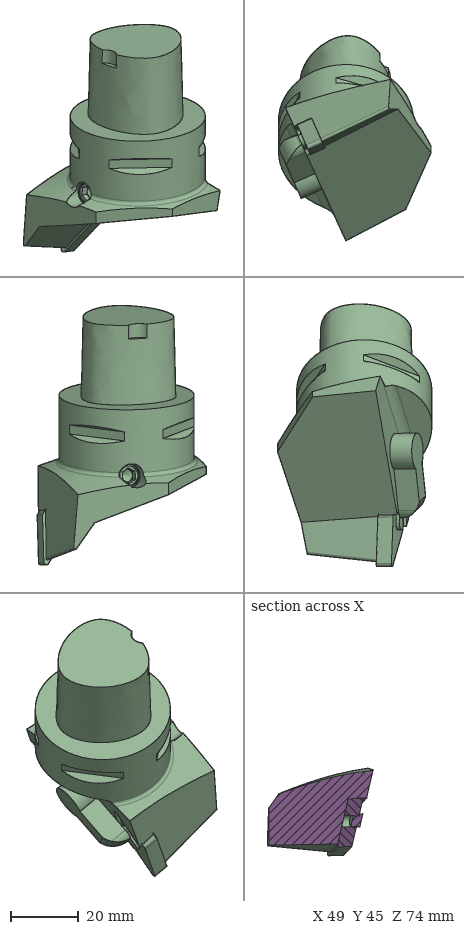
import cadquery as cq
import math

shank_height = 24.0
shank_base_radius = 14.05
shank_taper = 1 / 40
lobe_height = 0.8
outline_points = 72
notch_radius = 3.5
notch_depth = 4.2
notch_center_y = -14.55

flange_radius = 20.0
groove_center_z = -8.05
groove_floor_distance = 17.7
groove_floor_width = 2.7
groove_side_angle = 27.5
groove_angles = (45, 135, 225, 315)

shoulder_z = -20.0
shoulder_angle = 15.0
shoulder_fillet = 1.2
head_right_x = 22.0
head_front_y = -25.0
head_corner_chamfer = 16.0
head_reach = 60.0

tip = (-26.95, 0.0, -50.0)
side_tilt = 5.0
back_tilt = 13.0
shelf_height = 1.1

insert_angle = 35.0
inscribed_radius = 9.525 / 2
insert_thickness = 4.76
nose_radius = 0.8
insert_hole_radius = 3.81 / 2
edge_angle = 3.0

flank_inset = 0.45
holder_nose_radius = 0.5
long_flank_angle = 4.3
long_relief_angle = 2.0
short_relief_angle = 2.2
inner_corner = (10.6, 12.15)
underside_angle = 16.2
seat_relief_radius = 0.6
seat_relief_shift = 0.2

pocket_corner_z = -18.4
pocket_roof_angle = 14.5
pocket_fillet = 4.0

clamp_head_radius = 10.92 / 2
clamp_head_center = (24.1, 24.3)
clamp_nose_radius = 3.2
clamp_nose_center = (8.7, 16.6)
clamp_height = 6.8
clamp_crown_start = (2.6, clamp_height)
clamp_crown_middle = (0.0, 5.4)
clamp_crown_end = (-2.6, 0.5)
clamp_pin_radius = 3.68 / 2
clamp_pin_depth = 2.0

bore_radius = 3.5
bore_mouth = (-3.85, -20.0, -19.9)
bore_direction = (0.09, -1.0, 0.2)
bore_depth = 2.5
plug_radius = 6.8 / 2
plug_face_radius = 2.9
plug_step_depth = 0.5
hex_across_flats = 4.0
hex_depth = 2.5
hex_cone_depth = 1.2


def tan(angle):
    return math.tan(math.radians(angle))


def direction(angle):
    """Unit direction leaning from the local vertical towards local +X."""
    return cq.Vector(math.sin(math.radians(angle)), math.cos(math.radians(angle)))


cutting_plane = cq.Plane(
    origin=tip,
    xDir=(1, tan(side_tilt), 0),
    normal=(tan(side_tilt), -1, tan(back_tilt)),
)
half_angle = insert_angle / 2
bisector = direction(edge_angle + half_angle)
long_edge = direction(edge_angle)
short_edge = direction(edge_angle + insert_angle)
nose_center = cq.Vector(nose_radius, nose_radius)
half_angle_sine = math.sin(math.radians(half_angle))
half_diagonal = inscribed_radius / half_angle_sine
half_width = half_diagonal * tan(half_angle)
across = cq.Vector(bisector.y, -bisector.x)
insert_center = nose_center + bisector * ((inscribed_radius - nose_radius) / half_angle_sine)


def cutting_workplane(depth=0.0):
    return cq.Workplane(cutting_plane).workplane(offset=depth)


def rhombus(height, depth):
    """Insert outline extruded down from a given depth below the insert face."""
    corners = [
        insert_center - bisector * half_diagonal,
        insert_center + across * half_width,
        insert_center + bisector * half_diagonal,
        insert_center - across * half_width,
    ]
    prism = cutting_workplane(depth).polyline([(p.x, p.y) for p in corners]).close().extrude(height)
    return prism.edges(cq.selectors.ParallelDirSelector(cutting_plane.zDir)).fillet(nose_radius)


def make_insert():
    hole = (
        cutting_workplane()
        .center(insert_center.x, insert_center.y)
        .circle(insert_hole_radius)
        .extrude(insert_thickness)
    )
    return rhombus(insert_thickness, 0).cut(hole)


def lobed_outline(mean_radius):
    """Three-lobed constant-width curve with one lobe on +Y."""
    def point(t):
        angle = 2 * math.pi * t
        lobe = 3 * (angle - math.pi / 2)
        support = mean_radius + lobe_height * math.cos(lobe)
        slope = -3 * lobe_height * math.sin(lobe)
        x = support * math.cos(angle) - slope * math.sin(angle)
        y = support * math.sin(angle) + slope * math.cos(angle)
        return x, y
    return point


def make_shank():
    top_radius = shank_base_radius - shank_height * shank_taper
    shank = (
        cq.Workplane("XY")
        .parametricCurve(lobed_outline(shank_base_radius), N=outline_points)
        .workplane(offset=shank_height)
        .parametricCurve(lobed_outline(top_radius), N=outline_points)
        .loft(ruled=True)
    )
    notch = (
        cq.Workplane("XY", origin=(0, notch_center_y, shank_height - notch_depth))
        .circle(notch_radius)
        .extrude(notch_depth)
    )
    return shank.cut(notch)


def make_turned_stock():
    """Flange, shoulder fillet and shoulder cone turned about Z."""
    tangent = shoulder_fillet * tan((90 - shoulder_angle) / 2)
    arc_end_r = flange_radius + tangent * math.cos(math.radians(shoulder_angle))
    arc_end_z = shoulder_z - tangent * math.sin(math.radians(shoulder_angle))
    rim_z = shoulder_z - (head_reach - flange_radius) * tan(shoulder_angle)
    arc_center = (flange_radius + shoulder_fillet, shoulder_z + tangent)
    middle = math.radians(180 + (90 - shoulder_angle) / 2)
    arc_middle = (
        arc_center[0] + shoulder_fillet * math.cos(middle),
        arc_center[1] + shoulder_fillet * math.sin(middle),
    )
    return (
        cq.Workplane("XZ")
        .lineTo(flange_radius, 0)
        .lineTo(flange_radius, shoulder_z + tangent)
        .threePointArc(arc_middle, (arc_end_r, arc_end_z))
        .lineTo(head_reach, rim_z)
        .lineTo(head_reach, -head_reach)
        .lineTo(0, -head_reach)
        .close()
        .revolve(360, (0, 0, 0), (0, 1, 0))
    )


def make_footprint():
    chamfer_x = head_right_x - head_corner_chamfer
    chamfer_y = head_front_y + head_corner_chamfer
    return (
        cq.Workplane("XY", origin=(0, 0, -head_reach))
        .moveTo(-head_reach, head_front_y)
        .lineTo(chamfer_x, head_front_y)
        .lineTo(head_right_x, chamfer_y)
        .lineTo(head_right_x, head_reach)
        .lineTo(-head_reach, head_reach)
        .close()
        .extrude(head_reach)
    )


def crossing(start, way, other_start, other_way):
    """Point where two lines in the cutting plane meet."""
    gap = other_start - start
    run = gap.cross(other_way).z / way.cross(other_way).z
    return start + way * run


def flank_outline(depth):
    """Corners of the holder outline at a depth below the insert face."""
    insert_tip = insert_center - bisector * half_diagonal
    long_inset = flank_inset + depth * tan(long_relief_angle)
    short_inset = flank_inset + depth * tan(short_relief_angle)
    long_start = insert_tip + cq.Vector(long_edge.y, -long_edge.x) * long_inset
    short_start = insert_tip + cq.Vector(-short_edge.y, short_edge.x) * short_inset
    long_flank = direction(long_flank_angle)
    underside = direction(90 - underside_angle)
    corner = cq.Vector(*inner_corner)
    nose = crossing(long_start, long_flank, short_start, short_edge)
    elbow = crossing(short_start, short_edge, corner, underside)
    right_end = elbow + underside * (2 * head_reach)
    left_top = nose + long_flank * (2 * head_reach)
    return [(p.x, p.y) for p in (nose, elbow, right_end, left_top)]


def make_flank_prism():
    """Relieved flanks, with an underside square to the cutting plane."""
    prism = (
        cutting_workplane(-head_reach)
        .polyline(flank_outline(-head_reach))
        .close()
        .workplane(offset=2 * head_reach)
        .polyline(flank_outline(head_reach))
        .close()
        .loft(ruled=True)
    )
    nose_x, nose_y = flank_outline(0)[0]
    nose_point = cutting_plane.toWorldCoords((nose_x, nose_y, 0))
    return prism.edges(cq.selectors.NearestToPointSelector(nose_point.toTuple())).fillet(holder_nose_radius)


def make_clamp_pocket():
    """Space behind the cutting side: shelf face, rounded corner and sloping roof."""
    shelf_origin = cutting_plane.toWorldCoords((0, 0, -shelf_height))
    side = cq.Plane(origin=(0, 0, 0), xDir=(-tan(side_tilt), 1, 0), normal=(1, tan(side_tilt), 0))
    shelf_start = side.toLocalCoords(shelf_origin)
    lean = tan(back_tilt) * math.cos(math.radians(side_tilt))

    def shelf_at(z):
        return shelf_start.x + (z - shelf_start.y) * lean

    corner_y = shelf_at(pocket_corner_z)
    pocket = (
        cq.Workplane(side)
        .workplane(offset=-head_reach)
        .moveTo(shelf_at(-2 * head_reach), -2 * head_reach)
        .lineTo(corner_y, pocket_corner_z)
        .lineTo(head_reach, pocket_corner_z + (head_reach - corner_y) * tan(pocket_roof_angle))
        .lineTo(head_reach, -2 * head_reach)
        .close()
        .extrude(2 * head_reach)
    )
    corner_point = side.toWorldCoords((corner_y, pocket_corner_z, 0))
    return pocket.edges(cq.selectors.NearestToPointSelector(corner_point.toTuple())).fillet(pocket_fillet)


def make_groove(angle):
    """Straight trapezoidal gripper groove across the flange at one angle."""
    cut_depth = flange_radius - groove_floor_distance
    floor_half = groove_floor_width / 2
    mouth_half = floor_half + cut_depth * tan(groove_side_angle)
    return (
        cq.Workplane("XZ", origin=(0, 0, groove_center_z))
        .polyline([
            (groove_floor_distance, -floor_half),
            (flange_radius, -mouth_half),
            (flange_radius, mouth_half),
            (groove_floor_distance, floor_half),
        ])
        .close()
        .extrude(flange_radius, both=True)
        .rotate((0, 0, 0), (0, 0, 1), angle)
    )


def make_head():
    head = make_turned_stock().intersect(make_footprint())
    head = head.intersect(make_flank_prism()).cut(make_clamp_pocket())
    for angle in groove_angles:
        head = head.cut(make_groove(angle))
    return head


def make_seat():
    """Seat open above the insert, with a round relief at its upper blunt corner."""
    seat_height = insert_thickness + shelf_height
    seat = rhombus(seat_height, -shelf_height)
    relief_center = insert_center - across * half_width + long_edge * seat_relief_shift
    relief = (
        cutting_workplane(-shelf_height)
        .center(relief_center.x, relief_center.y)
        .circle(seat_relief_radius)
        .extrude(seat_height)
    )
    return seat.union(relief)


def make_clamp_arm(nose, head_center):
    """Round-nosed arm from the clamp head, its end also rounded over its height."""
    arm = (head_center - nose).normalized()
    side = cq.Vector(-arm.y, arm.x)
    origin = cutting_plane.toWorldCoords((nose.x, nose.y, -shelf_height))
    flat_plane = cq.Plane(
        origin=origin,
        xDir=cutting_plane.toWorldCoords(arm) - cutting_plane.origin,
        normal=-cutting_plane.zDir,
    )
    side_plane = cq.Plane(
        origin=origin,
        xDir=flat_plane.xDir,
        normal=cutting_plane.toWorldCoords(side) - cutting_plane.origin,
    )
    length = (head_center - nose).Length
    stock = (
        cq.Workplane(flat_plane)
        .moveTo(length, clamp_nose_radius)
        .lineTo(0, clamp_nose_radius)
        .threePointArc((-clamp_nose_radius, 0), (0, -clamp_nose_radius))
        .lineTo(length, -clamp_nose_radius)
        .close()
        .extrude(clamp_height)
    )
    profile = (
        cq.Workplane(side_plane)
        .moveTo(clamp_crown_end[0], 0)
        .lineTo(*clamp_crown_end)
        .threePointArc(clamp_crown_middle, clamp_crown_start)
        .lineTo(length, clamp_height)
        .lineTo(length, 0)
        .close()
        .extrude(clamp_nose_radius, both=True)
    )
    return stock.intersect(profile)


def make_clamp():
    """Clamp on the shelf, with a lip over the insert and a pin reaching into its hole."""
    nose = cq.Vector(*clamp_nose_center)
    head_center = cq.Vector(*clamp_head_center)
    head = (
        cutting_workplane(-shelf_height - clamp_height)
        .center(head_center.x, head_center.y)
        .circle(clamp_head_radius)
        .extrude(clamp_height)
    )
    pin = (
        cutting_workplane(-shelf_height)
        .center(insert_center.x, insert_center.y)
        .circle(clamp_pin_radius)
        .extrude(shelf_height + clamp_pin_depth)
    )
    reach = nose - insert_center
    middle = insert_center + reach * 0.5
    lip_width = 2 * clamp_pin_radius
    lip_angle = math.degrees(math.atan2(reach.y, reach.x))
    lip = (
        cutting_workplane(-shelf_height)
        .center(middle.x, middle.y)
        .slot2D(reach.Length + lip_width, lip_width, lip_angle)
        .extrude(shelf_height)
    )
    return head.union(make_clamp_arm(nose, head_center)).union(lip).union(pin)


def make_plug_bore():
    """Open bore down to the plug, with the plug's stepped rim and hex socket."""
    bore_plane = cq.Plane(origin=bore_mouth, xDir=(0, bore_direction[2], 1), normal=bore_direction)
    face = cq.Workplane(bore_plane).workplane(offset=-bore_depth)
    bore = face.circle(bore_radius).extrude(head_reach)
    socket = face.polygon(6, hex_across_flats / math.cos(math.pi / 6)).extrude(-hex_depth)
    cone_plane = face.workplane(offset=-hex_depth)
    cone = cq.Workplane(obj=cq.Solid.makeCone(
        hex_across_flats / 2, 0, hex_cone_depth, cone_plane.plane.origin, -cone_plane.plane.zDir,
    ))
    rim = face.circle(plug_radius).circle(plug_face_radius).extrude(-plug_step_depth)
    return bore.union(socket).union(cone).union(rim)


insert = make_insert()
holder = make_head().cut(make_plug_bore()).union(make_shank())
holder = holder.cut(make_seat()).union(make_clamp())

result = cq.Compound.makeCompound([*holder.solids().vals(), *insert.solids().vals()])